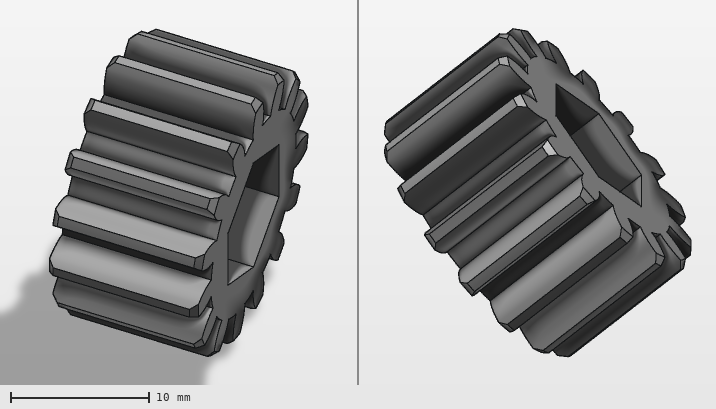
import cadquery as cq
import math

tooth_count = 15
face_width = 11.67
tip_radius = 10.8
root_radius = 7.95
edge_chamfer = 0.5

hex_across_flats = 9.5
hex_across_corners = hex_across_flats / math.cos(math.pi / 6)

root_half_width = 0.88
flank_mid_radius = 9.43
flank_mid_half_width = 0.93
tip_half_width = 0.4
tooth_overlap = 0.43


def distance_along_tooth(radius, half_width):
    """Distance along the tooth centreline of a point at the given radius."""
    return math.sqrt(radius**2 - half_width**2)


def make_tooth():
    """One tooth along -Y, with both flanks bulging outwards as arcs."""
    root = distance_along_tooth(root_radius, root_half_width)
    middle = distance_along_tooth(flank_mid_radius, flank_mid_half_width)
    tip = distance_along_tooth(tip_radius, tip_half_width)
    buried = root - tooth_overlap
    return (
        cq.Workplane("YZ")
        .moveTo(-buried, root_half_width)
        .lineTo(-root, root_half_width)
        .threePointArc((-middle, flank_mid_half_width), (-tip, tip_half_width))
        .threePointArc((-tip_radius, 0), (-tip, -tip_half_width))
        .threePointArc((-middle, -flank_mid_half_width), (-root, -root_half_width))
        .lineTo(-buried, -root_half_width)
        .close()
        .extrude(face_width / 2, both=True)
    )


def make_chamfered_blank():
    """Cylinder of tip radius with chamfered rims, used to trim the tooth ends."""
    return (
        cq.Workplane("YZ")
        .circle(tip_radius)
        .extrude(face_width / 2, both=True)
        .edges()
        .chamfer(edge_chamfer)
    )


def make_hex_bore():
    """Through bore, turned so that its corners point along Z."""
    return (
        cq.Workplane("YZ")
        .polygon(6, hex_across_corners)
        .extrude(face_width / 2, both=True)
        .rotate((0, 0, 0), (1, 0, 0), 90)
    )


gear = cq.Workplane("YZ").circle(root_radius).extrude(face_width / 2, both=True)
tooth = make_tooth()
for index in range(tooth_count):
    gear = gear.union(tooth.rotate((0, 0, 0), (1, 0, 0), index * 360 / tooth_count))

result = gear.intersect(make_chamfered_blank()).cut(make_hex_bore())